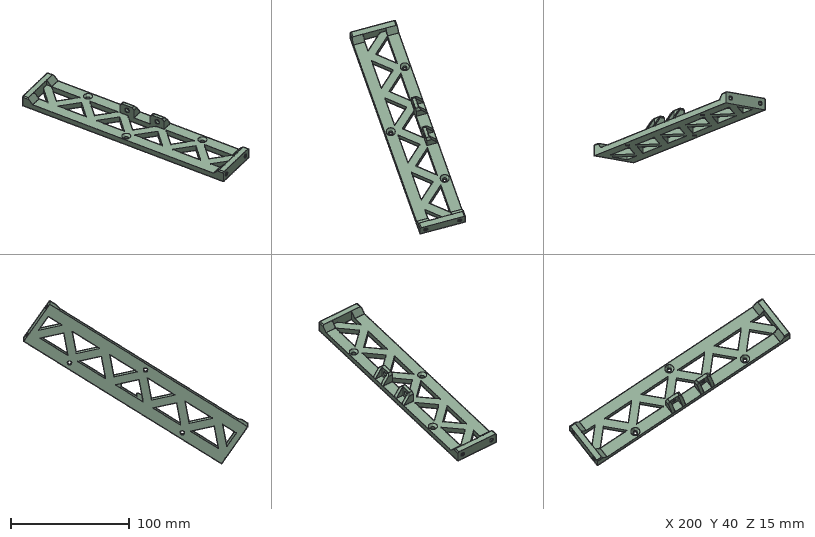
import cadquery as cq

length = 200.0
width = 40.0
plate_thickness = 5.0
rail_width = 10.0
window_width = width - 2 * rail_width

wall_thickness = 5.0
wall_height = 10.0
wall_chamfer = 1.0
end_hole_diameter = 2.5
end_hole_spacing = 30.0
end_hole_mouth_chamfer = 0.5
end_hole_depth = wall_thickness

strut_pitch = 38.0
strut_run = strut_pitch / 2
strut_span_along_x = 10.0
strut_count = 10

lug_width = 14.0
lug_height = 15.0
lug_spacing = 30.0
lug_corner_chamfer = 2.0
lug_plate_thickness = 3.0
lug_slot_width = 8.0
lug_hole_diameter = 3.5
lug_hole_mouth_chamfer = 0.5
lug_hole_height = 10.0

mount_hole_diameter = 3.5
countersink_diameter = 7.5
countersink_angle = 90.0
mount_hole_y = (width - rail_width) / 2
mount_hole_points = [
    (-1.5 * strut_pitch, mount_hole_y),
    (1.5 * strut_pitch, mount_hole_y),
    (0, -mount_hole_y),
]


def make_rails():
    """Two rails joined by the end walls, extruded from one side profile."""
    half = length / 2
    wall_face = half - wall_thickness
    gusset_foot = wall_face - (wall_height - plate_thickness)
    profile = [
        (-half, 0),
        (half, 0),
        (half, wall_height),
        (wall_face, wall_height),
        (gusset_foot, plate_thickness),
        (-gusset_foot, plate_thickness),
        (-wall_face, wall_height),
        (-half, wall_height),
    ]
    body = cq.Workplane("XZ").polyline(profile).close().extrude(width / 2, both=True)
    for side in (-1, 1):
        edge_y = side * width / 2
        corner = [
            (edge_y, wall_height),
            (edge_y - side * wall_chamfer, wall_height),
            (edge_y, wall_height - wall_chamfer),
        ]
        body = body.cut(cq.Workplane("YZ").polyline(corner).close().extrude(half, both=True))
    opening = cq.Workplane("XY").rect(2 * wall_face, window_width).extrude(wall_height)
    return body.cut(opening)


def make_struts():
    """Zigzag of diagonal struts, trimmed to end within the end walls."""
    half_span = strut_span_along_x / 2
    half_window = window_width / 2
    struts = cq.Workplane("XY")
    for index in range(strut_count):
        start_x = (index - strut_count / 2) * strut_run
        end_x = start_x + strut_run
        direction = 1 if (index - strut_count // 2) % 2 == 0 else -1
        start_y = -direction * half_window
        outline = [
            (start_x - half_span, start_y),
            (start_x + half_span, start_y),
            (end_x + half_span, -start_y),
            (end_x - half_span, -start_y),
        ]
        struts = struts.union(cq.Workplane("XY").polyline(outline).close().extrude(plate_thickness))
    inside = cq.Workplane("XY").box(length - wall_thickness, window_width, lug_height)
    return struts.intersect(inside.translate((0, 0, lug_height / 2)))


def make_drill(diameter, depth, mouth_chamfer):
    """Cutter for a hole running along +Z from the origin, with a bevelled mouth."""
    radius = diameter / 2
    half_section = [
        (0, 0),
        (radius + mouth_chamfer, 0),
        (radius, mouth_chamfer),
        (radius, depth),
        (0, depth),
    ]
    return cq.Workplane("XZ").polyline(half_section).close().revolve(360, (0, 0), (0, 1))


def make_lug(center_x):
    """Upright plate with two sloped side ribs behind it and a screw hole through it."""
    front_y = width / 2 - rail_width
    back_y = width / 2
    plate_back_y = front_y + lug_plate_thickness
    side_profile = [
        (front_y, plate_thickness),
        (back_y, plate_thickness),
        (plate_back_y, lug_height),
        (front_y, lug_height),
    ]
    lug = cq.Workplane("YZ").polyline(side_profile).close().extrude(lug_width / 2, both=True)
    for side in (-1, 1):
        edge_x = side * lug_width / 2
        corner = [
            (edge_x, lug_height),
            (edge_x - side * lug_corner_chamfer, lug_height),
            (edge_x, lug_height - lug_corner_chamfer),
        ]
        lug = lug.cut(cq.Workplane("XZ").polyline(corner).close().extrude(-back_y))
    slot = (
        cq.Workplane("XY", origin=(0, (plate_back_y + back_y) / 2, plate_thickness))
        .rect(lug_slot_width, back_y - plate_back_y)
        .extrude(lug_height)
    )
    drill = make_drill(lug_hole_diameter, lug_plate_thickness, lug_hole_mouth_chamfer)
    drill = drill.rotate((0, 0, 0), (1, 0, 0), -90).translate((0, front_y, lug_hole_height))
    return lug.cut(slot).cut(drill).translate((center_x, 0, 0))


def make_end_holes():
    """Screw holes drilled inward from both end faces."""
    drill = make_drill(end_hole_diameter, end_hole_depth, end_hole_mouth_chamfer)
    drill = drill.rotate((0, 0, 0), (0, 1, 0), 90)
    corner_drill = drill.translate((-length / 2, end_hole_spacing / 2, wall_height / 2))
    end_drills = corner_drill.union(corner_drill.mirror("XZ"))
    return end_drills.union(end_drills.mirror("YZ"))


result = make_rails().union(make_struts())
for lug_x in (-lug_spacing / 2, lug_spacing / 2):
    result = result.union(make_lug(lug_x))
result = result.cut(make_end_holes())
result = (
    result.copyWorkplane(cq.Workplane("XY", origin=(0, 0, plate_thickness)))
    .pushPoints(mount_hole_points)
    .cskHole(mount_hole_diameter, countersink_diameter, countersink_angle, plate_thickness)
)